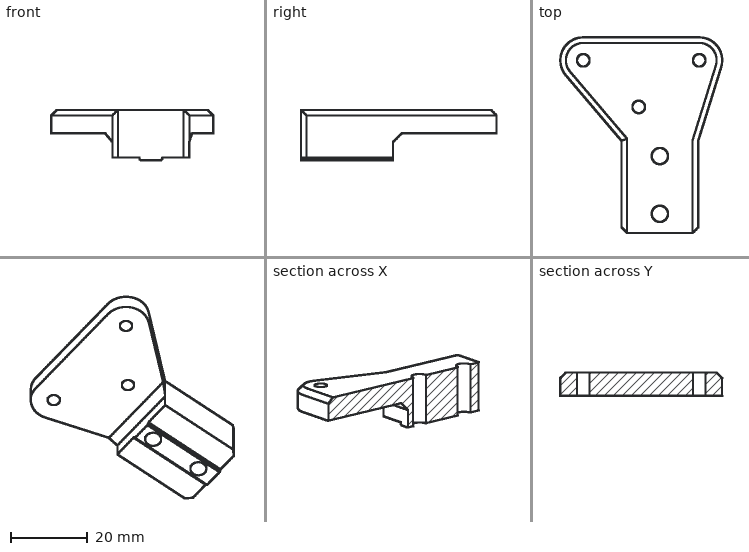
import cadquery as cq
import math

length = 50.9
stem_width = 20.0
stem_length = 24.0
stem_depth = 12.4
plate_thickness = 6.15
edge_chamfer = 1.5

corner_radius = 6.0
left_corner_x = -19.9
right_corner_x = 10.25
corner_y = length - corner_radius

small_hole_diameter = 3.2
plate_holes = [(left_corner_x, corner_y), (right_corner_x, corner_y), (-5.5, 32.8)]
stem_hole_diameter = 4.2
stem_holes = [(0, 5.0), (0, 20.0)]

rib_width = 6.0
rib_height = 0.75
rib_chamfer = 0.4

gusset_size = 2.25

half_stem = stem_width / 2


def corner_point(center_x, angle):
    """Point on a rounded plate corner at the given angle from +X."""
    return (center_x + corner_radius * math.cos(angle), corner_y + corner_radius * math.sin(angle))


def tangent_angle(shoulder_x, center_x, side):
    """Angle on a corner circle where the line from the stem shoulder touches it (side: 1 right, -1 left)."""
    dx = shoulder_x - center_x
    dy = stem_length - corner_y
    spread = math.acos(corner_radius / math.hypot(dx, dy))
    return math.atan2(dy, dx) + side * spread


def outline_prism(depth):
    """Full outline of the part, extruded down from the top face."""
    top_angle = math.pi / 2
    right_angle = tangent_angle(half_stem, right_corner_x, 1)
    left_angle = tangent_angle(-half_stem, left_corner_x, -1) + math.tau
    right_middle = corner_point(right_corner_x, (right_angle + top_angle) / 2)
    left_middle = corner_point(left_corner_x, (left_angle + top_angle) / 2)
    return (
        cq.Workplane("XY")
        .moveTo(-half_stem + edge_chamfer, 0)
        .lineTo(half_stem - edge_chamfer, 0)
        .lineTo(half_stem, edge_chamfer)
        .lineTo(half_stem, stem_length)
        .lineTo(*corner_point(right_corner_x, right_angle))
        .threePointArc(right_middle, (right_corner_x, length))
        .lineTo(left_corner_x, length)
        .threePointArc(left_middle, corner_point(left_corner_x, left_angle))
        .lineTo(-half_stem, stem_length)
        .lineTo(-half_stem, edge_chamfer)
        .close()
        .extrude(-depth)
    )


def side_envelope():
    """Stepped side profile, with a sloped gusset between stem and plate, across the full width."""
    return (
        cq.Workplane("YZ")
        .polyline([
            (0, 0),
            (length, 0),
            (length, -plate_thickness),
            (stem_length + gusset_size, -plate_thickness),
            (stem_length, -plate_thickness - gusset_size),
            (stem_length, -stem_depth),
            (0, -stem_depth),
        ])
        .close()
        .extrude(length, both=True)
    )


def bottom_rib():
    """Locating rib along the underside of the stem, with chamfered lower edges."""
    return (
        cq.Workplane("XY")
        .box(rib_width, stem_length, rib_height, centered=(True, False, False))
        .edges("|Y and <Z")
        .chamfer(rib_chamfer)
        .translate((0, 0, -stem_depth - rib_height))
    )


def holes(points, diameter):
    """Vertical cutters that pass through the whole part."""
    return (
        cq.Workplane("XY")
        .pushPoints(points)
        .circle(diameter / 2)
        .extrude(-stem_depth - rib_height)
    )


behind_free_end = cq.selectors.BoxSelector(
    (-length, edge_chamfer, -edge_chamfer), (length, 2 * length, edge_chamfer)
)
body = outline_prism(stem_depth).faces(">Z").edges().edges(behind_free_end).chamfer(edge_chamfer)

result = body.intersect(side_envelope()).union(bottom_rib())
result = result.cut(holes(plate_holes, small_hole_diameter))
result = result.cut(holes(stem_holes, stem_hole_diameter))